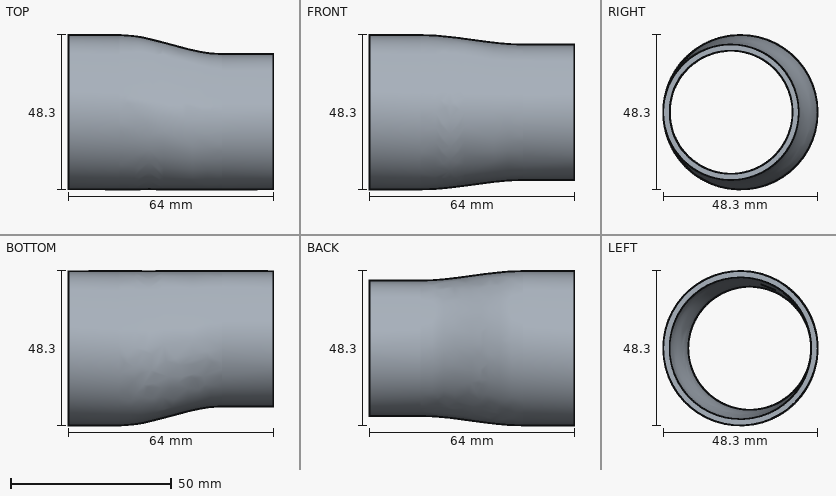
import cadquery as cq

total_length = 64.0
end_length = 16.0
large_outer_diameter = 48.3
small_outer_diameter = 42.4
large_inner_diameter = 44.3
small_inner_diameter = 38.4
transition_steps = 8

transition_length = total_length - 2 * end_length


def ease(t):
    """Rise from 0 to 1 with zero slope at both ends."""
    return t * t * (3 - 2 * t)


def straight_end(x_start, diameter, center_y):
    return (
        cq.Workplane("YZ", origin=(x_start, center_y, 0))
        .circle(diameter / 2)
        .extrude(end_length)
    )


def transition(large_diameter, small_diameter):
    """Loft circles that shrink along X while all touching one line on the -Y side."""
    sections = []
    for step in range(transition_steps + 1):
        t = step / transition_steps
        x = end_length + t * transition_length
        diameter = large_diameter + (small_diameter - large_diameter) * ease(t)
        center_y = (diameter - large_diameter) / 2
        center = cq.Vector(x, center_y, 0)
        sections.append(cq.Wire.makeCircle(diameter / 2, center, cq.Vector(1, 0, 0)))
    return cq.Workplane(obj=cq.Solid.makeLoft(sections))


def reducer_body(large_diameter, small_diameter):
    """Solid bounded by one skin of the reducer, either outer or inner."""
    small_center_y = (small_diameter - large_diameter) / 2
    large_end = straight_end(0, large_diameter, 0)
    small_end = straight_end(total_length - end_length, small_diameter, small_center_y)
    return large_end.union(transition(large_diameter, small_diameter)).union(small_end)


outer_body = reducer_body(large_outer_diameter, small_outer_diameter)
bore = reducer_body(large_inner_diameter, small_inner_diameter)
result = outer_body.cut(bore)